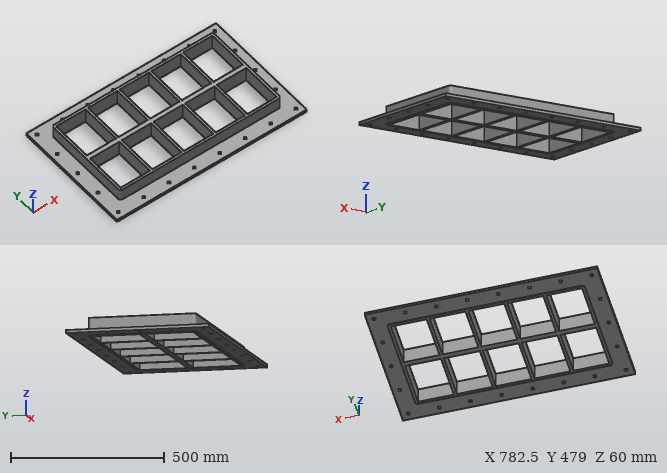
import cadquery as cq

flange_length = 782.5
flange_width = 479.0
flange_thickness = 10.0

frame_height = 60.0
frame_projection_below = 2.0
flange_margin = 59.5
frame_length = flange_length - 2 * flange_margin
frame_width = flange_width - 2 * flange_margin
frame_corner_radius = 10.0

columns = 5
rows = 2
wall_thickness = 10.0
cross_rib_thickness = 10.0
center_rib_thickness = 18.0
opening_length = (frame_length - 2 * wall_thickness - (columns - 1) * cross_rib_thickness) / columns
opening_width = (frame_width - 2 * wall_thickness - (rows - 1) * center_rib_thickness) / rows

bolt_diameter = 10.0
bolt_edge_distance = 25.0
bolts_along_length = 8
bolts_along_width = 5


def spread(count, pitch):
    """Evenly spaced positions centered on zero."""
    return [(index - (count - 1) / 2) * pitch for index in range(count)]


def bolt_positions():
    """Centers of the bolt holes around the four flange edges."""
    span_x = flange_length - 2 * bolt_edge_distance
    span_y = flange_width - 2 * bolt_edge_distance
    xs = spread(bolts_along_length, span_x / (bolts_along_length - 1))
    ys = spread(bolts_along_width, span_y / (bolts_along_width - 1))
    long_edges = [(x, y) for x in xs for y in (ys[0], ys[-1])]
    short_edges = [(x, y) for x in (xs[0], xs[-1]) for y in ys[1:-1]]
    return long_edges + short_edges


def make_flange():
    plate = (
        cq.Workplane("XY")
        .workplane(offset=frame_projection_below)
        .rect(flange_length, flange_width)
        .extrude(flange_thickness)
    )
    return plate.faces(">Z").workplane().pushPoints(bolt_positions()).hole(bolt_diameter)


def make_frame():
    return (
        cq.Workplane("XY")
        .rect(frame_length, frame_width)
        .extrude(frame_height)
        .edges("|Z")
        .fillet(frame_corner_radius)
    )


def make_openings():
    xs = spread(columns, opening_length + cross_rib_thickness)
    ys = spread(rows, opening_width + center_rib_thickness)
    return (
        cq.Workplane("XY")
        .pushPoints([(x, y) for x in xs for y in ys])
        .rect(opening_length, opening_width)
        .extrude(frame_height)
    )


result = make_flange().union(make_frame()).cut(make_openings())